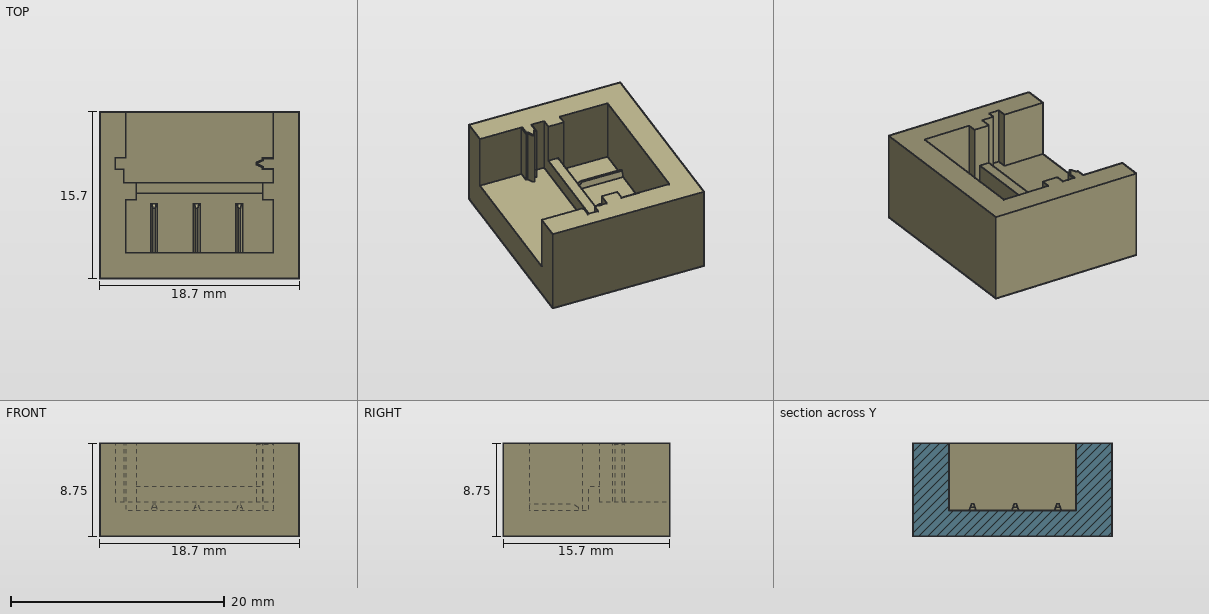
import cadquery as cq

length = 18.7
width = 15.65
height = 8.75

wall = 2.45
front_pocket_floor = wall
rear_floor = 3.25

rail_front = 8.0
rail_back = 9.01
rail_top = 4.73
guide_front = 7.4
guide_overhang = 0.95

key_front = 10.27
key_back = 11.35
groove_depth = 1.0
step_depth = 0.22

key_reach = 1.01
nose_reach = 0.58
nose_base = 0.7
nose_tip = 0.26
tip_bulge = 0.1
key_chamfer = 0.07

rib_count = 3
rib_pitch = 4.0
rib_first_x = 5.09
rib_end_y = 7.03
rib_base = 0.64
rib_crest = 0.2
rib_height = 0.6
rib_end_run = 0.43
rib_end_rise = 0.3

inner_left = wall
inner_right = length - wall


def box(x_range, y_range, z_range):
    """Axis-aligned box from (start, end) pairs."""
    size = [end - start for start, end in (x_range, y_range, z_range)]
    corner = (x_range[0], y_range[0], z_range[0])
    return cq.Workplane("XY").box(*size, centered=False).translate(corner)


def front_pocket():
    """Pocket between the front wall and the rail, narrowed by the guide blocks."""
    z_range = (front_pocket_floor, height)
    wide = box((inner_left, inner_right), (wall, guide_front), z_range)
    narrow_x = (inner_left + guide_overhang, inner_right - guide_overhang)
    narrow = box(narrow_x, (guide_front, rail_front), z_range)
    over_rail = box(narrow_x, (rail_front, rail_back), (rail_top, height))
    return wide.union(narrow).union(over_rail)


def rear_pocket():
    """Pocket open at the back, with the stepped groove in its left wall."""
    z_range = (rear_floor, height)
    main = box((inner_left, inner_right), (rail_back, width), z_range)
    groove = box((inner_left - groove_depth, inner_left), (key_front, key_back), z_range)
    step = box((inner_left - step_depth, inner_left), (rail_back, key_front), z_range)
    return main.union(groove).union(step)


def key():
    """Upright key on the right wall, chamfered around its top edge."""
    face_x = inner_right - key_reach
    tip_x = face_x - nose_reach
    middle_y = (key_front + key_back) / 2
    root_x = inner_right + wall / 2
    outline = (
        cq.Workplane("XY", origin=(0, 0, rear_floor))
        .moveTo(root_x, key_front)
        .lineTo(face_x, key_front)
        .lineTo(face_x, middle_y - nose_base / 2)
        .lineTo(tip_x + tip_bulge, middle_y - nose_tip / 2)
        .threePointArc((tip_x, middle_y), (tip_x + tip_bulge, middle_y + nose_tip / 2))
        .lineTo(face_x, middle_y + nose_base / 2)
        .lineTo(face_x, key_back)
        .lineTo(root_x, key_back)
        .close()
    )
    return outline.extrude(height - rear_floor).faces(">Z").chamfer(key_chamfer)


def rib(center_x):
    """Ridge on the front pocket floor with sloping flanks and a bevelled rear end."""
    crest_z = front_pocket_floor + rib_height
    profile = [
        (center_x - rib_base / 2, front_pocket_floor),
        (center_x + rib_base / 2, front_pocket_floor),
        (center_x + rib_crest / 2, crest_z),
        (center_x - rib_crest / 2, crest_z),
    ]
    ridge = cq.Workplane("XZ", origin=(0, wall, 0)).polyline(profile).close().extrude(wall - rib_end_y)
    end_wedge = [
        (rib_end_y, crest_z - rib_end_rise),
        (rib_end_y, crest_z),
        (rib_end_y - rib_end_run, crest_z),
    ]
    wedge = cq.Workplane("YZ").polyline(end_wedge).close().extrude(length)
    return ridge.cut(wedge)


result = box((0, length), (0, width), (0, height))
result = result.cut(front_pocket()).cut(rear_pocket()).union(key())
for index in range(rib_count):
    result = result.union(rib(rib_first_x + index * rib_pitch))